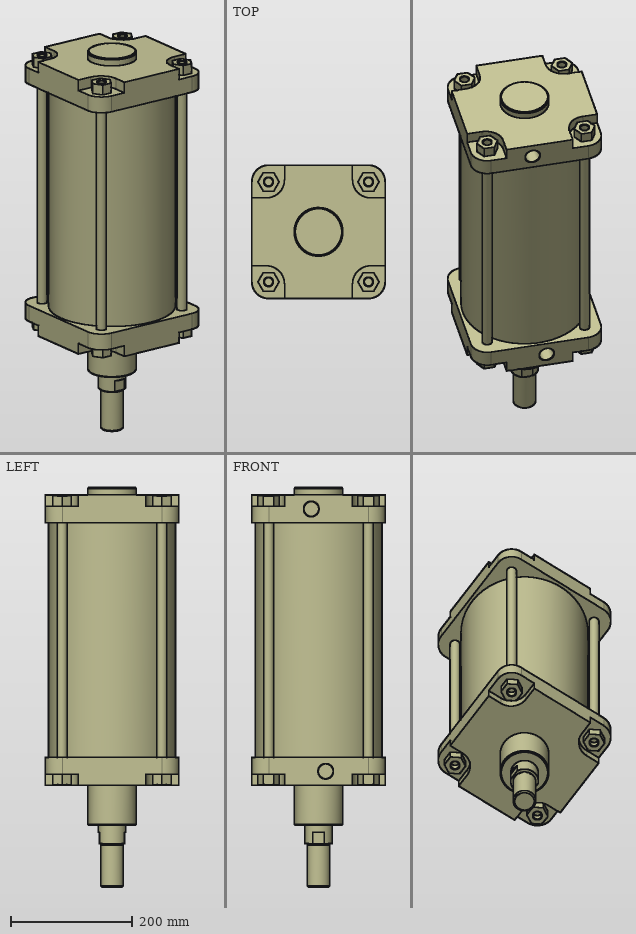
import cadquery as cq
import math


COVER_SIDE = 220.0
COVER_HEIGHT = 46.0
TIE_ROD_OFFSET = 82.5
CORNER_RADIUS = COVER_SIDE / 2 - TIE_ROD_OFFSET
NUT_POCKET_REACH = 26.5
NUT_POCKET_RADIUS = 29.5
NUT_POCKET_DEPTH = 18.5
PORT_DIAMETER = 24.5
PORT_DEPTH = 39.5
PORT_CHAMFER = 0.5
PORT_OFFSET = 12.0

BOSS_DIAMETER = 80.5
BOSS_CHAMFER = 2.0
REAR_BOSS_HEIGHT = 12.5
FRONT_BOSS_HEIGHT = 66.0

BARREL_DIAMETER = 209.5

TIE_ROD_DIAMETER = 16.5
NUT_ACROSS_FLATS = 30.0
NUT_HEIGHT = 17.0
NUT_BORE_DIAMETER = 14.0
NUT_BORE_DEPTH = 13.0
NUT_BORE_CHAMFER = 1.0

COLLAR_DIAMETER = 45.5
COLLAR_HEIGHT = 30.0
FLATS_HEIGHT = 18.5
FLATS_ACROSS = 41.5
SHANK_DIAMETER = 37.5
SHANK_LENGTH = 72.0
SHANK_CHAMFER = 2.5

TOTAL_HEIGHT = 659.0
COLLAR_TOP = SHANK_LENGTH + COLLAR_HEIGHT
FRONT_COVER_FACE = COLLAR_TOP + FRONT_BOSS_HEIGHT
BARREL_BOTTOM = FRONT_COVER_FACE + COVER_HEIGHT
REAR_COVER_FACE = TOTAL_HEIGHT - REAR_BOSS_HEIGHT
BARREL_TOP = REAR_COVER_FACE - COVER_HEIGHT

TIE_ROD_CENTERS = [(x, y) for x in (-TIE_ROD_OFFSET, TIE_ROD_OFFSET)
                   for y in (-TIE_ROD_OFFSET, TIE_ROD_OFFSET)]


def chamfered_bore(diameter, depth, chamfer):
    """Cutter for a blind hole that opens at Z = 0, runs towards -Z and has a chamfered mouth."""
    radius = diameter / 2
    half_section = [(0, 0), (radius + chamfer, 0), (radius, -chamfer), (radius, -depth), (0, -depth)]
    return cq.Workplane("XZ").polyline(half_section).close().revolve()


def make_cover(boss_height):
    """Cover with its inner face at Z = 0, nut pockets and boss towards +Z, and port left (-X) of centre."""
    cover = (cq.Workplane("XY").rect(COVER_SIDE, COVER_SIDE).extrude(COVER_HEIGHT)
             .edges("|Z").fillet(CORNER_RADIUS))

    pocket_side = 2 * (NUT_POCKET_REACH + CORNER_RADIUS)
    pockets = (cq.Workplane("XY").workplane(offset=COVER_HEIGHT - NUT_POCKET_DEPTH)
               .rect(COVER_SIDE, COVER_SIDE, forConstruction=True).vertices()
               .rect(pocket_side, pocket_side).extrude(NUT_POCKET_DEPTH)
               .edges("|Z").fillet(NUT_POCKET_RADIUS))
    cover = cover.cut(pockets)

    boss = (cq.Workplane("XY").workplane(offset=COVER_HEIGHT).circle(BOSS_DIAMETER / 2)
            .extrude(boss_height).faces(">Z").chamfer(BOSS_CHAMFER))
    cover = cover.union(boss)

    tie_rod_holes = (cq.Workplane("XY").pushPoints(TIE_ROD_CENTERS)
                     .circle(TIE_ROD_DIAMETER / 2).extrude(COVER_HEIGHT))
    cover = cover.cut(tie_rod_holes)

    port = chamfered_bore(PORT_DIAMETER, PORT_DEPTH, PORT_CHAMFER)
    port = port.rotate((0, 0, 0), (1, 0, 0), 90).translate((-PORT_OFFSET, -COVER_SIDE / 2, COVER_HEIGHT / 2))
    return cover.cut(port)


def make_rear_cover():
    return make_cover(REAR_BOSS_HEIGHT).translate((0, 0, BARREL_TOP))


def make_front_cover():
    """Cover with the longer boss, turned over about the Y axis, which also mirrors the port's place in X."""
    return (make_cover(FRONT_BOSS_HEIGHT)
            .rotate((0, 0, 0), (0, 1, 0), 180).translate((0, 0, BARREL_BOTTOM)))


def make_barrel():
    return (cq.Workplane("XY").workplane(offset=BARREL_BOTTOM)
            .circle(BARREL_DIAMETER / 2).extrude(BARREL_TOP - BARREL_BOTTOM))


def make_nut():
    """Hexagon nut seated at Z = 0, with corners on the X axis and a blind bore in its top."""
    across_corners = NUT_ACROSS_FLATS / math.cos(math.pi / 6)
    nut = cq.Workplane("XY").polygon(6, across_corners).extrude(NUT_HEIGHT)
    bore = chamfered_bore(NUT_BORE_DIAMETER, NUT_BORE_DEPTH, NUT_BORE_CHAMFER)
    return nut.cut(bore.translate((0, 0, NUT_HEIGHT)))


def make_tie_rod(x, y):
    """Rod through both covers with a hexagon nut on each end."""
    lower_seat = FRONT_COVER_FACE + NUT_POCKET_DEPTH
    upper_seat = REAR_COVER_FACE - NUT_POCKET_DEPTH
    rod = (cq.Workplane("XY", origin=(x, y, lower_seat))
           .circle(TIE_ROD_DIAMETER / 2).extrude(upper_seat - lower_seat))
    end_nut = make_nut()
    lower_nut = end_nut.rotate((0, 0, 0), (1, 0, 0), 180).translate((x, y, lower_seat))
    upper_nut = end_nut.translate((x, y, upper_seat))
    return rod.union(lower_nut).union(upper_nut)


def make_piston_rod():
    """Round shank chamfered at both ends, below a collar with two wrench flats facing -Y and +Y."""
    shank = (cq.Workplane("XY").circle(SHANK_DIAMETER / 2).extrude(SHANK_LENGTH)
             .faces("<Z or >Z").chamfer(SHANK_CHAMFER))
    collar = (cq.Workplane("XY").workplane(offset=SHANK_LENGTH)
              .circle(COLLAR_DIAMETER / 2).extrude(COLLAR_HEIGHT))
    flats = (cq.Workplane("XY").workplane(offset=SHANK_LENGTH)
             .rect(COLLAR_DIAMETER, COLLAR_DIAMETER).rect(COLLAR_DIAMETER, FLATS_ACROSS)
             .extrude(FLATS_HEIGHT))
    return shank.union(collar.cut(flats))


rear_cover = make_rear_cover()
front_cover = make_front_cover()
barrel = make_barrel()
tie_rods = [make_tie_rod(x, y) for x, y in TIE_ROD_CENTERS]
piston_rod = make_piston_rod()

result = cq.Compound.makeCompound([
    rear_cover.val(),
    front_cover.val(),
    barrel.val(),
    *[tie_rod.val() for tie_rod in tie_rods],
    piston_rod.val(),
])